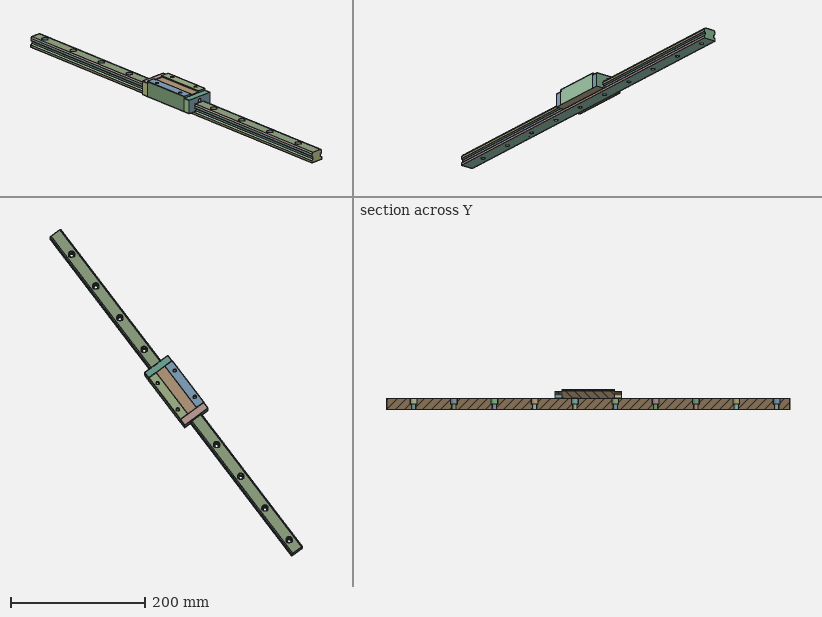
import cadquery as cq

RAIL_LENGTH = 600.0
RAIL_BASE_WIDTH = 20.5
RAIL_HEAD_WIDTH = 20.0
RAIL_NECK_WIDTH = 15.5
RAIL_TOP_WIDTH = 16.0
RAIL_HEIGHT = 17.0
BASE_TOP_Z = 3.5
NECK_BOTTOM_Z = 5.7
NECK_TOP_Z = 9.0
HEAD_BOTTOM_Z = 11.0
HEAD_TOP_Z = 14.5

RAIL_HOLE_COUNT = 10
RAIL_HOLE_PITCH = 60.0
FIRST_HOLE_INSET = 20.0
RAIL_HOLE_DIAMETER = 6.0
COUNTERBORE_DIAMETER = 9.5
COUNTERBORE_DEPTH = 8.5

OVERALL_HEIGHT = 30.0
CARRIAGE_LENGTH = 99.5
BLOCK_WIDTH = 44.0
CAP_INSET = 0.1
EDGE_CHAMFER = 0.5
CARRIAGE_BOTTOM_Z = 5.1
BLOCK_LENGTH = 78.5
CAP_TOP_Z = 27.0
GROOVE_WIDTH = 16.0
GROOVE_DEPTH = 2.0

MOUNT_PITCH_X = 50.0
MOUNT_PITCH_Y = 32.0
MOUNT_DIAMETER = 5.0
MOUNT_DEPTH = 9.0

GREASE_DIAMETER = 5.5
GREASE_Z = 20.5

CAP_WIDTH = BLOCK_WIDTH - 2 * CAP_INSET
CAP_LENGTH = (CARRIAGE_LENGTH - BLOCK_LENGTH) / 2


def rail_bar():
    """Plain rail: its waisted cross-section swept along X, centred on X = 0."""
    half_section = [
        (RAIL_BASE_WIDTH / 2, 0),
        (RAIL_BASE_WIDTH / 2, BASE_TOP_Z),
        (RAIL_NECK_WIDTH / 2, NECK_BOTTOM_Z),
        (RAIL_NECK_WIDTH / 2, NECK_TOP_Z),
        (RAIL_HEAD_WIDTH / 2, HEAD_BOTTOM_Z),
        (RAIL_HEAD_WIDTH / 2, HEAD_TOP_Z),
        (RAIL_TOP_WIDTH / 2, RAIL_HEIGHT),
    ]
    other_half = [(-y, z) for y, z in reversed(half_section)]
    return (
        cq.Workplane("YZ")
        .polyline(half_section + other_half)
        .close()
        .extrude(RAIL_LENGTH / 2, both=True)
    )


def make_rail():
    """Rail with its row of counterbored bolt holes."""
    first_x = -RAIL_LENGTH / 2 + FIRST_HOLE_INSET
    hole_places = [(first_x + i * RAIL_HOLE_PITCH, 0) for i in range(RAIL_HOLE_COUNT)]
    return (
        rail_bar()
        .faces(">Z")
        .workplane(origin=(0, 0, RAIL_HEIGHT))
        .pushPoints(hole_places)
        .cboreHole(RAIL_HOLE_DIAMETER, COUNTERBORE_DIAMETER, COUNTERBORE_DEPTH)
    )


def carriage_box(length, width, top_z):
    """Box from the underside of the carriage up to top_z, its long top edges chamfered."""
    return (
        cq.Workplane("XY")
        .workplane(offset=CARRIAGE_BOTTOM_Z)
        .rect(length, width)
        .extrude(top_z - CARRIAGE_BOTTOM_Z)
        .faces(">Z")
        .edges("|X")
        .chamfer(EDGE_CHAMFER)
    )


def top_groove():
    """Cutter for the groove along the top of the block."""
    return (
        cq.Workplane("XY")
        .workplane(offset=OVERALL_HEIGHT - GROOVE_DEPTH)
        .rect(BLOCK_LENGTH, GROOVE_WIDTH)
        .extrude(GROOVE_DEPTH)
    )


def mounting_holes():
    """Cutters for the four blind holes in the top of the block."""
    return (
        cq.Workplane("XY")
        .workplane(offset=OVERALL_HEIGHT)
        .rarray(MOUNT_PITCH_X, MOUNT_PITCH_Y, 2, 2)
        .circle(MOUNT_DIAMETER / 2)
        .extrude(-MOUNT_DEPTH)
    )


def grease_port():
    """Cutter for the blind hole through the -X end cap."""
    return (
        cq.Workplane("YZ")
        .workplane(offset=-CARRIAGE_LENGTH / 2)
        .center(0, GREASE_Z)
        .circle(GREASE_DIAMETER / 2)
        .extrude(CAP_LENGTH)
    )


def make_carriage():
    """Carriage: block and end caps in one piece, fitting closely round the rail."""
    port = grease_port()
    return (
        carriage_box(BLOCK_LENGTH, BLOCK_WIDTH, OVERALL_HEIGHT)
        .union(carriage_box(CARRIAGE_LENGTH, CAP_WIDTH, CAP_TOP_Z))
        .cut(top_groove())
        .cut(mounting_holes())
        .cut(port)
        .cut(port.mirror("YZ"))
        .cut(rail_bar())
    )


rail = make_rail()
carriage = make_carriage()

result = cq.Compound.makeCompound([rail.val(), carriage.val()])